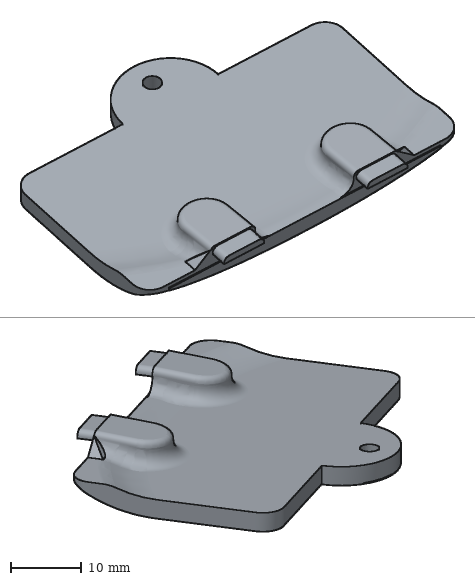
import cadquery as cq
import math

PLATE_LEFT = 8.5
PLATE_RIGHT = 39.85
PLATE_WIDTH = 56.7
PLATE_THICKNESS = 3.0
CORNER_RADIUS = 3.2
BOTTOM_EDGE_ROUND = 0.3
TOLERANCE = 0.05

BEND_AXIS_X = -18.6
BEND_START_RADIUS = 53.25
UNDER_CURVE = 18.15
RAMP_HOLLOW = 14.2
RAMP_CREST = 4.8
RIM_TOP = 4.35
SHEET_RADIUS = 79.4

LIP_RIGHT = 40.05
LIP_WIDTH = 48.55
LIP_TOP = 3.65

EAR_RADIUS = PLATE_LEFT
EAR_HOLE_DIAMETER = 2.8
EAR_HOLE_X = EAR_RADIUS / 2

OVERALL_LENGTH = 42.5
BOSS_Y = 12.8
BOSS_LEFT = 29.55
BOSS_WIDTH = 8.05
BOSS_TOP_LEFT = 6.4
BOSS_TOP_RIGHT = 7.15
BOSS_TOP_ROUND = 0.95
BOSS_FOOT_ROUND = 2.3
OVERRUN = 5.65

GUSSET_LENGTH = 2.25
GUSSET_REACH = 2.7

TONGUE_START = 39.75
TONGUE_WIDTH = 7.2
TONGUE_BOTTOM = 5.7
TONGUE_TOP = 6.9
TONGUE_ROUND = 1.0


def revolve_bend(profile):
    """Revolve a radial profile about the bend axis."""
    return profile.close().revolve(360, (0, 0, 0), (0, 1, 0)).translate((BEND_AXIS_X, 0, 0))


def ramped_sheet(rim_top):
    """Round sheet with a flat underside and an S-shaped ramp up to a flat rim."""
    ramp_angle = math.acos(1 - (rim_top - PLATE_THICKNESS) / (RAMP_HOLLOW + RAMP_CREST))
    ramp_end = BEND_START_RADIUS + (RAMP_HOLLOW + RAMP_CREST) * math.sin(ramp_angle)

    def hollow(angle):
        rise = RAMP_HOLLOW * (1 - math.cos(angle))
        return BEND_START_RADIUS + RAMP_HOLLOW * math.sin(angle), PLATE_THICKNESS + rise

    def crest(angle):
        return ramp_end - RAMP_CREST * math.sin(angle), rim_top - RAMP_CREST * (1 - math.cos(angle))

    profile = (
        cq.Workplane("XZ")
        .lineTo(SHEET_RADIUS, 0)
        .lineTo(SHEET_RADIUS, rim_top)
        .lineTo(ramp_end, rim_top)
        .threePointArc(crest(ramp_angle / 2), crest(ramp_angle))
        .threePointArc(hollow(ramp_angle / 2), (BEND_START_RADIUS, PLATE_THICKNESS))
        .lineTo(0, PLATE_THICKNESS)
    )
    return revolve_bend(profile)


def bowl():
    """Space above the underside, which is flat and then curls up."""

    def underside(angle):
        return BEND_START_RADIUS + UNDER_CURVE * math.sin(angle), UNDER_CURVE * (1 - math.cos(angle))

    steepest = math.radians(60)
    profile = (
        cq.Workplane("XZ")
        .lineTo(BEND_START_RADIUS, 0)
        .threePointArc(underside(steepest / 2), underside(steepest))
        .lineTo(0, underside(steepest)[1])
    )
    return revolve_bend(profile)


def block(left, right, width, bottom, top, y=0):
    """Box given by its X range, its width about y and its Z range."""
    return (
        cq.Workplane("XY")
        .box(right - left, width, top - bottom)
        .translate(((left + right) / 2, y, (bottom + top) / 2))
    )


def boss(y):
    """Clip boss with a half-round nose and a top that climbs towards +X."""
    right = PLATE_RIGHT + OVERRUN
    nose_radius = BOSS_WIDTH / 2
    slope = (BOSS_TOP_RIGHT - BOSS_TOP_LEFT) / (PLATE_RIGHT - BOSS_LEFT)
    foot = PLATE_THICKNESS / 2
    solid = (
        cq.Workplane("XZ", origin=(0, y, 0))
        .moveTo(BOSS_LEFT, foot)
        .lineTo(right, foot)
        .lineTo(right, BOSS_TOP_RIGHT + slope * OVERRUN)
        .lineTo(BOSS_LEFT, BOSS_TOP_LEFT)
        .close()
        .extrude(nose_radius, both=True)
    )
    plan = (
        cq.Workplane("XY")
        .moveTo(right, y - nose_radius)
        .lineTo(BOSS_LEFT + nose_radius, y - nose_radius)
        .threePointArc((BOSS_LEFT, y), (BOSS_LEFT + nose_radius, y + nose_radius))
        .lineTo(right, y + nose_radius)
        .close()
        .extrude(2 * BOSS_TOP_RIGHT)
    )
    return solid.intersect(plan).faces(">Z").edges("not >X").fillet(BOSS_TOP_ROUND)


def boss_foot_edges(body):
    """Edges where the boss walls meet the top of the sheet."""
    picked = []
    for edge in body.edges().vals():
        box = edge.BoundingBox()
        off_centre = abs(abs(box.center.y) - BOSS_Y)
        near_boss = off_centre < BOSS_WIDTH / 2 + TOLERANCE and box.ylen < BOSS_WIDTH
        on_top = box.zmin > PLATE_THICKNESS - TOLERANCE and box.zmax < RIM_TOP + TOLERANCE
        beside = BOSS_LEFT - TOLERANCE < box.xmin < PLATE_RIGHT + OVERRUN - TOLERANCE
        if near_boss and on_top and beside:
            picked.append(edge)
    return picked


def gusset(side):
    """Wedge on the outer flank of a boss, growing in height towards the right edge."""
    inner = BOSS_Y + BOSS_WIDTH / 2 - BOSS_TOP_ROUND
    flank = BOSS_Y + BOSS_WIDTH / 2
    foot = PLATE_THICKNESS
    height = BOSS_TOP_RIGHT - BOSS_TOP_ROUND / 2
    end_shape = (
        cq.Workplane("YZ", origin=(PLATE_RIGHT - GUSSET_LENGTH, 0, 0))
        .moveTo(side * inner, foot)
        .lineTo(side * (flank + GUSSET_REACH), foot)
        .lineTo(side * (flank + GUSSET_REACH), RIM_TOP)
        .lineTo(side * flank, height)
        .lineTo(side * inner, height)
        .close()
        .extrude(GUSSET_LENGTH)
    )
    side_shape = (
        cq.Workplane("XZ", origin=(0, side * flank, 0))
        .moveTo(PLATE_RIGHT - GUSSET_LENGTH, RIM_TOP)
        .lineTo(PLATE_RIGHT, height)
        .lineTo(PLATE_RIGHT, foot)
        .lineTo(PLATE_RIGHT - GUSSET_LENGTH, foot)
        .close()
        .extrude(BOSS_WIDTH, both=True)
    )
    return end_shape.intersect(side_shape)


def underside_rim(body):
    """Edges that bound the flat underside and the bend, except the short steps at the lip ends."""
    flat = body.faces("<Z").val()
    bend = body.faces("%TORUS").faces("<Z").val()
    rim = []
    for face, other in ((flat, bend), (bend, flat)):
        seam = [edge.hashCode() for edge in other.Edges()]
        rim += [edge for edge in face.Edges() if edge.hashCode() not in seam]
    return [edge for edge in rim if edge.Length() > 2 * (LIP_RIGHT - PLATE_RIGHT)]


def tongue(y):
    """Flat tongue at the end of a boss, rounded along its two upper edges."""
    solid = block(TONGUE_START, OVERALL_LENGTH, TONGUE_WIDTH, TONGUE_BOTTOM, TONGUE_TOP, y)
    return solid.edges("|X and >Z").fillet(TONGUE_ROUND)


def disc(x, radius):
    """Disc of plate thickness centred on the X axis."""
    return cq.Workplane("XY").center(x, 0).circle(radius).extrude(PLATE_THICKNESS)


def sheet_with_bosses(rim_top):
    """Ramped sheet carrying both bosses, blended at their feet."""
    body = ramped_sheet(rim_top)
    for side in (-1, 1):
        body = body.union(boss(side * BOSS_Y))
    return body.newObject(boss_foot_edges(body)).fillet(BOSS_FOOT_ROUND)


def plate():
    """Rounded plate whose rim is lower between the bosses than outside them."""
    headroom = 2 * BOSS_TOP_RIGHT
    outline = block(PLATE_LEFT, PLATE_RIGHT, PLATE_WIDTH, 0, headroom).edges("|Z").fillet(CORNER_RADIUS)
    middle = block(PLATE_LEFT, PLATE_RIGHT, 2 * BOSS_Y, 0, headroom)
    lip = block(PLATE_RIGHT, LIP_RIGHT, LIP_WIDTH, 0, LIP_TOP)
    high = sheet_with_bosses(RIM_TOP).intersect(outline).cut(middle)
    low = sheet_with_bosses(LIP_TOP).intersect(middle)
    return high.union(low).union(lip).intersect(bowl())


result = plate().union(disc(PLATE_LEFT, EAR_RADIUS))
result = result.newObject(underside_rim(result)).fillet(BOTTOM_EDGE_ROUND)
for side in (-1, 1):
    result = result.union(gusset(side)).union(tongue(side * BOSS_Y))
result = result.cut(disc(EAR_HOLE_X, EAR_HOLE_DIAMETER / 2)).solids()